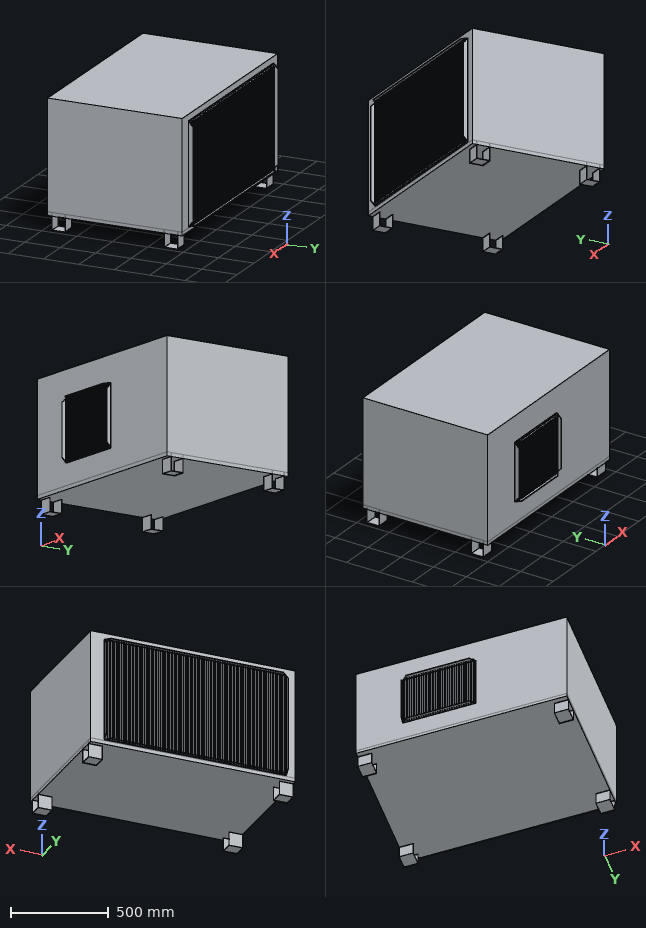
import cadquery as cq

cabinet_length = 1143
cabinet_depth = 762.0
total_height = 711.0
base_bottom = 77.0
base_height = 21.0
base_top = base_bottom + base_height

foot_size = 77.0
foot_inset = 25.0
foot_sheet = 2.0

grille_depth = 25.0
rim_sheet = 3.0
slat_width = 3.0
slat_depth = 5.0
slat_offset = 7.0

front_grille_left = 253.0
front_grille_bottom = 216.0
front_grille_width = 398.0
front_grille_height = 345.0

front_slat_spaces = 31
slat_pitch = front_grille_width / front_slat_spaces

rear_grille_left = 49.0
rear_grille_bottom = 102.0
rear_grille_width = 1020.0
rear_grille_height = 574.0


def block(x, y, z, length, depth, height):
    """Box given by its lowest corner and its sizes along X, Y and Z."""
    return cq.Workplane("XY").box(length, depth, height, centered=False).translate((x, y, z))


def foot(x, y):
    """U-shaped channel that runs along X, with its lowest corner at (x, y, 0)."""
    outer = block(x, y, 0, foot_size, foot_size, base_top)
    hollow_width = foot_size - 2 * foot_sheet
    hollow = block(x, y + foot_sheet, foot_sheet, foot_size, hollow_width, base_top)
    return outer.cut(hollow)


def rim_flap(plane, span):
    """Sheet flap standing out to -Y between its neighbours, both ends mitred at 45 degrees."""
    mitre_end = rim_sheet + grille_depth
    outline = [
        (rim_sheet, 0),
        (span - rim_sheet, 0),
        (span - mitre_end, -grille_depth),
        (mitre_end, -grille_depth),
    ]
    return cq.Workplane(plane).polyline(outline).close().extrude(rim_sheet)


def grille(width, height):
    """Grille standing out to -Y from the XZ plane, with its lower left corner at the origin."""
    flat_flap = rim_flap("XY", width)
    upright_plane = cq.Plane(origin=(rim_sheet, 0, 0), xDir=(0, 0, 1), normal=(-1, 0, 0))
    upright_flap = rim_flap(upright_plane, height)

    body = flat_flap.union(flat_flap.translate((0, 0, height - rim_sheet)))
    body = body.union(upright_flap)
    body = body.union(upright_flap.translate((width - rim_sheet, 0, 0)))

    last_slat_limit = width - rim_sheet - slat_offset - slat_depth / 2
    slat_count = int(last_slat_limit / slat_pitch)
    slat_y = -slat_offset - slat_depth
    slats = [
        block(number * slat_pitch, slat_y, 0, slat_width, slat_depth, height).val()
        for number in range(1, slat_count + 1)
    ]
    return body.union(cq.Workplane("XY").newObject(slats))


base = block(0, 0, base_bottom, cabinet_length, cabinet_depth, base_height)
cabinet = block(0, 0, base_top, cabinet_length, cabinet_depth, total_height - base_top)
result = cabinet.union(base, clean=False)

for foot_x in (0, cabinet_length - foot_size):
    for foot_y in (foot_inset, cabinet_depth - foot_inset - foot_size):
        result = result.union(foot(foot_x, foot_y), clean=False)

front_grille = grille(front_grille_width, front_grille_height)
front_grille = front_grille.translate((front_grille_left, 0, front_grille_bottom))
result = result.union(front_grille, clean=False)

rear_grille = grille(rear_grille_width, rear_grille_height).mirror("XZ")
rear_grille = rear_grille.translate((rear_grille_left, cabinet_depth, rear_grille_bottom))
result = result.union(rear_grille, clean=False)